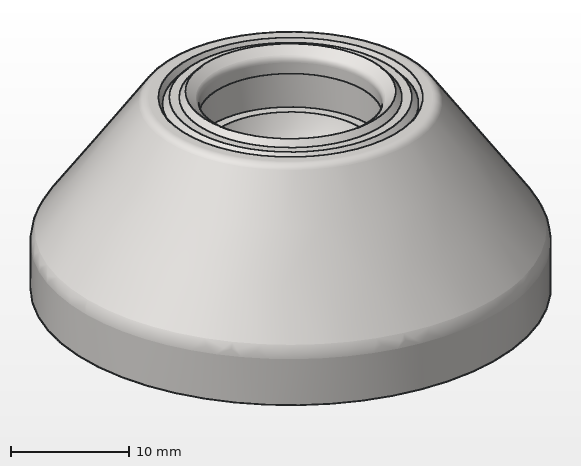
import cadquery as cq
import math

base_radius = 22.0
base_corner_height = 5.0
rim_height = 18.05
rim_corner_radius = 12.55
base_round = 2.0
rim_round = 0.95

groove_outer_radius = 11.18
groove_bottom_radius = 10.82
groove_depth = 0.6
ledge_outer_radius = 10.25
ledge_inner_radius = 9.4
ridge_radius = 8.9
total_height = 18.6

lip_edge_radius = 8.0
lip_edge_height = 18.0
throat_radius = 7.75
throat_top_height = 17.42
bore_radius = 8.35
bore_top_height = 16.35
bore_floor_height = 12.9

seat_radius = 7.45
seat_sphere_radius = 7.9
seat_center_height = bore_floor_height + math.sqrt(seat_sphere_radius**2 - seat_radius**2)


def revolve_profile(profile):
    """Turn a closed radius-height outline about the Z axis."""
    return profile.close().revolve(360, (0, 0, 0), (0, 1, 0))


def make_cone():
    """Cylindrical base and conical shoulder with both corners rounded."""
    cone = revolve_profile(
        cq.Workplane("XZ")
        .lineTo(base_radius, 0)
        .lineTo(base_radius, base_corner_height)
        .lineTo(rim_corner_radius, rim_height)
        .lineTo(0, rim_height)
    )
    cone = cone.faces(">Z").edges().fillet(rim_round)
    selection_margin = 0.45
    base_corner = cq.selectors.BoxSelector(
        (-base_radius, -base_radius, base_corner_height - selection_margin),
        (base_radius + selection_margin, base_radius, base_corner_height + selection_margin),
    )
    return cone.edges("%CIRCLE").edges(base_corner).fillet(base_round)


def make_ridge():
    """Low tapered disc that carries the sharp ridge around the mouth."""
    return revolve_profile(
        cq.Workplane("XZ")
        .moveTo(0, rim_height)
        .lineTo(ledge_inner_radius, rim_height)
        .lineTo(ridge_radius, total_height)
        .lineTo(0, total_height)
    )


def make_groove():
    """V-shaped ring sunk into the rim."""
    return revolve_profile(
        cq.Workplane("XZ")
        .moveTo(groove_outer_radius, rim_height)
        .lineTo(groove_bottom_radius, rim_height - groove_depth)
        .lineTo(ledge_outer_radius, rim_height)
    )


def make_socket():
    """Flared mouth, rounded lip, narrow throat and wider bore down to the flat floor."""
    return revolve_profile(
        cq.Workplane("XZ")
        .moveTo(0, bore_floor_height)
        .lineTo(bore_radius, bore_floor_height)
        .lineTo(bore_radius, bore_top_height)
        .lineTo(throat_radius, bore_top_height)
        .lineTo(throat_radius, throat_top_height)
        .tangentArcPoint((lip_edge_radius, lip_edge_height), relative=False)
        .lineTo(ridge_radius, total_height)
        .lineTo(0, total_height)
    )


def make_seat():
    """Cap of the ball below the socket floor."""
    ball = cq.Workplane("XY").sphere(seat_sphere_radius).translate((0, 0, seat_center_height))
    below_floor = cq.Workplane("XY").circle(bore_radius).extrude(bore_floor_height)
    return ball.intersect(below_floor)


result = make_cone().union(make_ridge()).cut(make_groove()).cut(make_socket()).cut(make_seat())